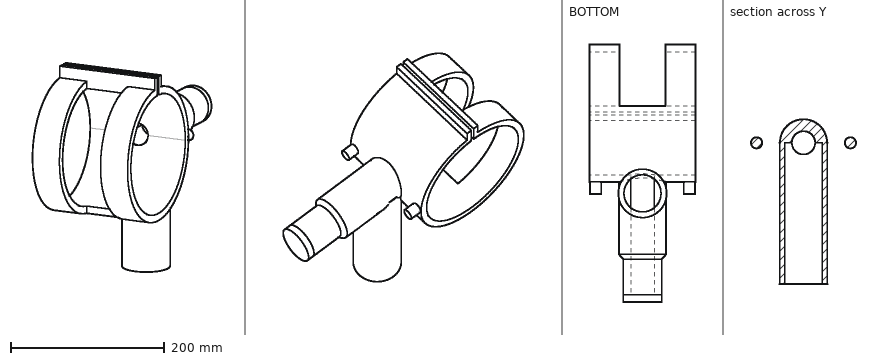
import cadquery as cq

CLAMP_WIDTH = 138.7
RING_OUTER_RADIUS = 90.0
RING_INNER_RADIUS = 80.0
WINDOW_WIDTH = 60.0

SPLIT_GAP = 4.0
LUG_THICKNESS = 7.5
LUG_TOP = 105.0
LUG_OUTER_Y = SPLIT_GAP / 2 + LUG_THICKNESS

PEG_DIAMETER = 14.8
PEG_END_Y = 105.7
PEG_OFFSET_X = 61.3

TUBE_RADIUS = 31.0
SPIGOT_RADIUS = 25.3
BORE_RADIUS = 15.0
SHOULDER_Y = 184.5
SHOULDER_LENGTH = 6.0
OVERALL_LENGTH = 336.7
CAP_THICKNESS = 9.5
CAP_END_Y = OVERALL_LENGTH - RING_OUTER_RADIUS
SPIGOT_END_Y = CAP_END_Y - CAP_THICKNESS

POST_RADIUS = 31.5
POST_BORE_RADIUS = 24.2
POST_Y = 104.7
POST_BOTTOM = -184.5


def cylinder_along_y(radius, start_y, end_y, x=0):
    solid = cq.Solid.makeCylinder(radius, end_y - start_y, cq.Vector(x, start_y, 0), cq.Vector(0, 1, 0))
    return cq.Workplane(obj=solid)


def cylinder_along_x(radius):
    return cq.Workplane("YZ").circle(radius).extrude(CLAMP_WIDTH / 2, both=True)


def block(width, y_min, y_max, z_min, z_max):
    """Box centred on X = 0 between the given Y and Z limits."""
    return (
        cq.Workplane("XY")
        .box(width, y_max - y_min, z_max - z_min)
        .translate((0, (y_min + y_max) / 2, (z_min + z_max) / 2))
    )


def make_tube():
    """Turned tube starting at the ring axis; the ring interior is cleared later."""
    profile = [
        (0, 0),
        (TUBE_RADIUS, 0),
        (TUBE_RADIUS, SHOULDER_Y),
        (SPIGOT_RADIUS, SHOULDER_Y + SHOULDER_LENGTH),
        (SPIGOT_RADIUS, SPIGOT_END_Y),
        (0, SPIGOT_END_Y),
    ]
    return cq.Workplane("XY").polyline(profile).close().revolve(360, (0, 0, 0), (0, 1, 0))


def cylinder_on_post_axis(radius):
    """Cylinder from the foot of the post up to the tube axis."""
    return (
        cq.Workplane("XY", origin=(0, POST_Y, POST_BOTTOM))
        .circle(radius)
        .extrude(-POST_BOTTOM)
    )


def make_bracket():
    """Split clamp ring with lugs, pegs, bored tube and hollow post in one solid."""
    bracket = cylinder_along_x(RING_OUTER_RADIUS)
    bracket = bracket.union(block(CLAMP_WIDTH, -LUG_OUTER_Y, LUG_OUTER_Y, 0, LUG_TOP))
    bracket = bracket.union(make_tube()).union(cylinder_on_post_axis(POST_RADIUS))
    for side in (-1, 1):
        bracket = bracket.union(cylinder_along_y(PEG_DIAMETER / 2, 0, PEG_END_Y, side * PEG_OFFSET_X))

    ring_opening = cylinder_along_x(RING_INNER_RADIUS)
    split = block(CLAMP_WIDTH, -SPLIT_GAP / 2, SPLIT_GAP / 2, 0, LUG_TOP)
    window = block(WINDOW_WIDTH, -RING_OUTER_RADIUS, -LUG_OUTER_Y, -RING_OUTER_RADIUS, RING_OUTER_RADIUS)
    bore = cylinder_along_y(BORE_RADIUS, 0, SPIGOT_END_Y)
    post_bore = cylinder_on_post_axis(POST_BORE_RADIUS)
    return bracket.cut(ring_opening).cut(split).cut(window).cut(bore).cut(post_bore)


def make_end_cap():
    """Disc closing the bored end of the spigot."""
    return cylinder_along_y(SPIGOT_RADIUS, SPIGOT_END_Y, CAP_END_Y)


bracket = make_bracket()
end_cap = make_end_cap()
result = cq.Compound.makeCompound([*bracket.solids().vals(), end_cap.val()])